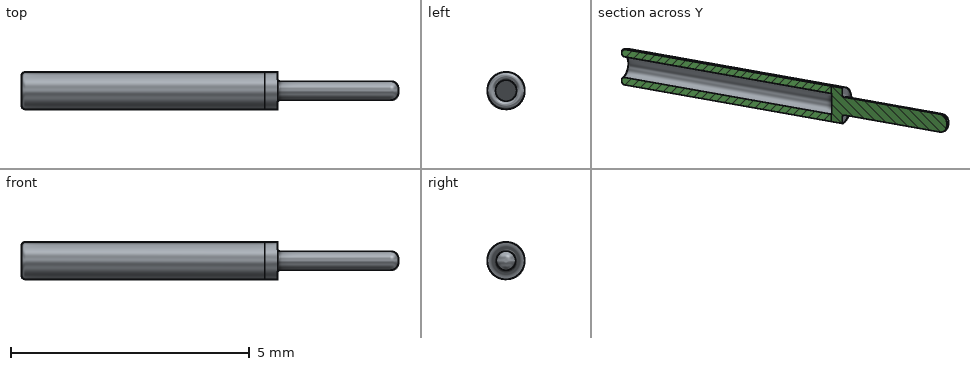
import cadquery as cq

total_length = 7.9
outer_diameter = 0.79

sleeve_length = 5.095
bore_diameter = 0.44

collar_length = 0.27
stem_diameter = 0.4
tip_radius = 0.165
neck_fillet = 0.05

outer_radius = outer_diameter / 2
bore_radius = bore_diameter / 2
stem_radius = stem_diameter / 2
rim_radius = (outer_radius - bore_radius) / 2
start_x = -total_length / 2
end_x = total_length / 2
joint_x = start_x + sleeve_length
shoulder_x = joint_x + collar_length


def revolve_about_x(profile):
    return profile.close().revolve(360, (0, 0, 0), (1, 0, 0))


def make_sleeve():
    """Open tube whose free end is a fully rounded rim."""
    profile = (
        cq.Workplane("XY")
        .moveTo(joint_x, bore_radius)
        .lineTo(start_x + rim_radius, bore_radius)
        .threePointArc((start_x, bore_radius + rim_radius), (start_x + rim_radius, outer_radius))
        .lineTo(joint_x, outer_radius)
    )
    return revolve_about_x(profile)


def make_plunger():
    """Collar that closes the sleeve, with a thinner round-tipped stem."""
    profile = (
        cq.Workplane("XY")
        .moveTo(joint_x, 0)
        .lineTo(joint_x, outer_radius)
        .lineTo(shoulder_x, outer_radius)
        .lineTo(shoulder_x, stem_radius)
        .lineTo(end_x, stem_radius)
        .lineTo(end_x, 0)
    )
    plunger = revolve_about_x(profile)
    plunger = plunger.faces(">X").edges().fillet(tip_radius)
    neck_edge = cq.selectors.BoxSelector(
        (shoulder_x - neck_fillet, -outer_radius, -outer_radius),
        (shoulder_x + neck_fillet, outer_radius, outer_radius),
        boundingbox=True,
    )
    return plunger.edges(neck_edge).edges(cq.selectors.RadiusNthSelector(0)).fillet(neck_fillet)


sleeve = make_sleeve()
plunger = make_plunger()

result = cq.Compound.makeCompound([sleeve.val(), plunger.val()])